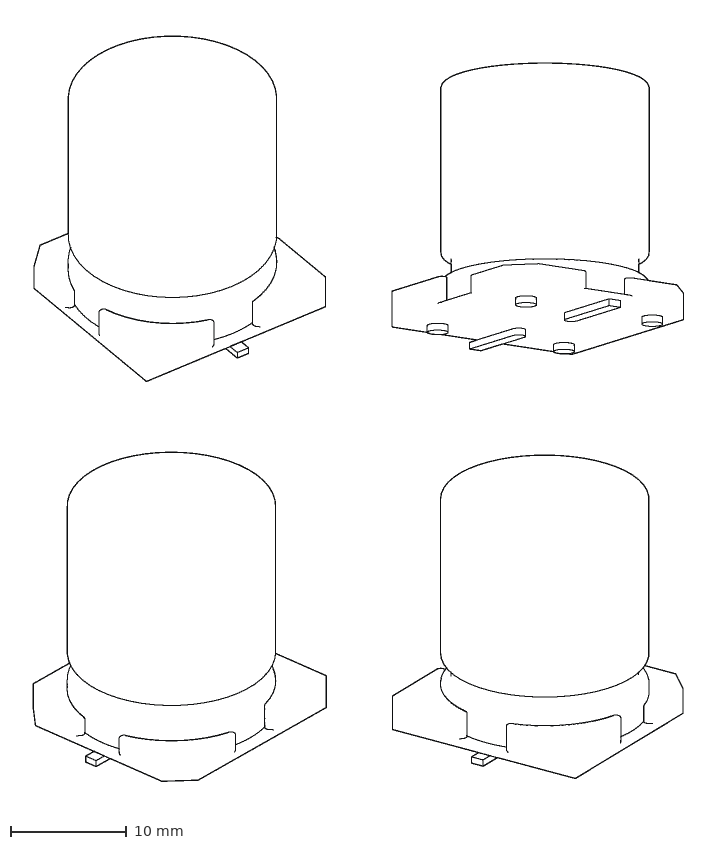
import cadquery as cq
import math

total_height = 21.5
lead_span = 21.0

can_radius = 18.0 / 2
neck_radius = 16.2 / 2
groove_bottom = 4.2
groove_top = 6.36
can_edge_round = 0.35

base_side = 19.0
half_side = base_side / 2
base_bottom = 0.6
base_floor = 1.5
low_post_top = 3.05
high_post_top = 3.83
corner_cut = 2.24
notch_width = 4.25
post_outer_round = 0.45
post_inner_round = 0.35
base_edge_round = 0.1

lead_width = 1.2
lead_inner_end = 3.35
foot_diameter = 1.8
foot_offset = 6.65

pick_margin = 0.02


def make_can():
    """Turned can standing on the base floor, rounded at its top rim and groove."""
    can = (
        cq.Workplane("XZ")
        .moveTo(0, base_floor)
        .lineTo(can_radius, base_floor)
        .lineTo(can_radius, groove_bottom)
        .lineTo(neck_radius, groove_bottom)
        .lineTo(neck_radius, groove_top)
        .lineTo(can_radius, groove_top)
        .lineTo(can_radius, total_height)
        .lineTo(0, total_height)
        .close()
        .revolve(360, (0, 0, 0), (0, 1, 0))
    )
    return can.edges("%CIRCLE and (not <Z)").fillet(can_edge_round)


def base_block(top):
    """Square block from the base bottom up, with its two -X corners cut off."""
    return (
        cq.Workplane("XY")
        .workplane(offset=base_bottom)
        .rect(base_side, base_side)
        .extrude(top - base_bottom)
        .edges("|Z and <X")
        .chamfer(corner_cut)
    )


def round_upright_edge(body, x, y, radius):
    """Round the vertical edge of a body nearest to the given place."""
    nearest = cq.selectors.NearestToPointSelector((x, y, base_floor))
    return body.edges("|Z").edges(nearest).fillet(radius)


def make_post(x_sign, y_sign, top):
    """Corner post, hollowed to hold the can and rounded where it meets the notches."""
    quadrant = (
        cq.Workplane("XY")
        .workplane(offset=base_bottom)
        .center(x_sign * half_side, y_sign * half_side)
        .rect(base_side - notch_width, base_side - notch_width)
        .extrude(top - base_bottom)
    )
    can_space = cq.Workplane("XY").circle(can_radius).extrude(total_height)
    post = base_block(top).intersect(quadrant).cut(can_space)

    half_notch = notch_width / 2
    can_reach = math.sqrt(can_radius**2 - half_notch**2)
    for reach, radius in ((half_side, post_outer_round), (can_reach, post_inner_round)):
        post = round_upright_edge(post, x_sign * reach, y_sign * half_notch, radius)
        post = round_upright_edge(post, x_sign * half_notch, y_sign * reach, radius)
    return post


def round_base_edges(base):
    """Slightly round the upright corners, the bottom outline and the post tops."""
    cut_end = half_side - corner_cut
    for x, y in ((half_side, half_side), (-half_side, cut_end), (-cut_end, half_side)):
        for y_sign in (-1, 1):
            base = round_upright_edge(base, x, y_sign * y, base_edge_round)
    base = base.faces("<Z").edges().fillet(base_edge_round)
    for top in (low_post_top, high_post_top):
        top_slab = cq.selectors.BoxSelector(
            (-base_side, -base_side, top - pick_margin),
            (base_side, base_side, top + pick_margin),
        )
        base = base.edges(top_slab).fillet(base_edge_round)
    return base


def make_base():
    """Base with low posts on the cut -X side and high posts on the +X side."""
    floor_plate = base_block(base_floor)
    base = floor_plate.faces(">Z").edges("|X or |Y").fillet(base_edge_round)
    for x_sign, top in ((-1, low_post_top), (1, high_post_top)):
        for y_sign in (-1, 1):
            base = base.union(make_post(x_sign, y_sign, top))
    return round_base_edges(base)


def make_lead(x_sign):
    """Flat lead along X with a half-round inner end."""
    half_width = lead_width / 2
    outer_x = x_sign * lead_span / 2
    round_start_x = x_sign * (lead_inner_end + half_width)
    return (
        cq.Workplane("XY")
        .moveTo(outer_x, -half_width)
        .lineTo(outer_x, half_width)
        .lineTo(round_start_x, half_width)
        .threePointArc((x_sign * lead_inner_end, 0), (round_start_x, -half_width))
        .close()
        .extrude(base_bottom)
    )


def make_feet():
    """Four round feet under the corners of the base."""
    return (
        cq.Workplane("XY")
        .rect(2 * foot_offset, 2 * foot_offset, forConstruction=True)
        .vertices()
        .circle(foot_diameter / 2)
        .extrude(base_bottom)
    )


result = make_base().union(make_can()).union(make_feet())
for side in (-1, 1):
    result = result.union(make_lead(side))